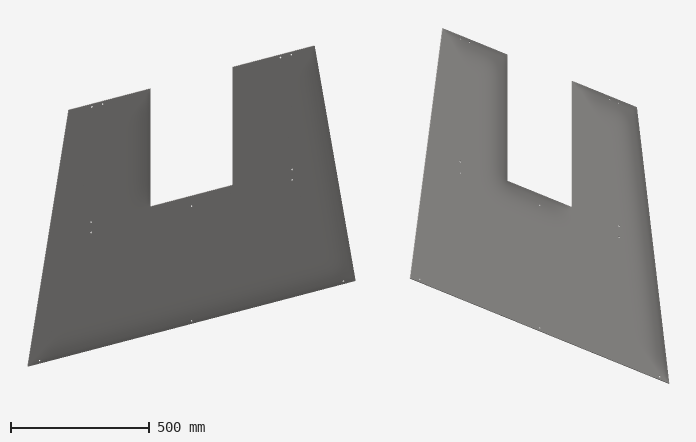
import cadquery as cq

thickness = 3.2
height = 1035.0
bottom_width = 1321.0
top_width = 990.0

notch_width = 330.0
notch_depth = 497.0

hole_diameter = 6.7
edge_margin = 12.5
hole_pair_spacing = 44.0
top_hole_span = 803.0
side_hole_span = 810.0
bottom_hole_span = 1223.0
top_hole_offset = top_hole_span / 2
side_hole_offset = side_hole_span / 2
bottom_hole_offset = bottom_hole_span / 2

bottom_z = -height / 2
top_z = height / 2
notch_floor_z = top_z - notch_depth
lower_side_hole_z = notch_floor_z - hole_pair_spacing


def make_plate():
    """Notched trapezoid, centred on the origin."""
    outline = [
        (-bottom_width / 2, bottom_z),
        (bottom_width / 2, bottom_z),
        (top_width / 2, top_z),
        (notch_width / 2, top_z),
        (notch_width / 2, notch_floor_z),
        (-notch_width / 2, notch_floor_z),
        (-notch_width / 2, top_z),
        (-top_width / 2, top_z),
    ]
    return cq.Workplane("YZ").polyline(outline).close().extrude(thickness / 2, both=True)


def hole_positions():
    """(Y, Z) centres: two on the centre line, the rest mirrored about it."""
    positions = [
        (0, bottom_z + edge_margin),
        (0, lower_side_hole_z),
    ]
    for side in (-1, 1):
        positions += [
            (side * top_hole_offset, top_z - edge_margin),
            (side * (top_hole_offset - hole_pair_spacing), top_z - edge_margin),
            (side * side_hole_offset, notch_floor_z),
            (side * side_hole_offset, lower_side_hole_z),
            (side * bottom_hole_offset, bottom_z + edge_margin),
        ]
    return positions


def make_holes():
    """Pins that cut the holes through the full thickness."""
    return (
        cq.Workplane("YZ")
        .pushPoints(hole_positions())
        .circle(hole_diameter / 2)
        .extrude(thickness, both=True)
    )


result = make_plate().cut(make_holes())